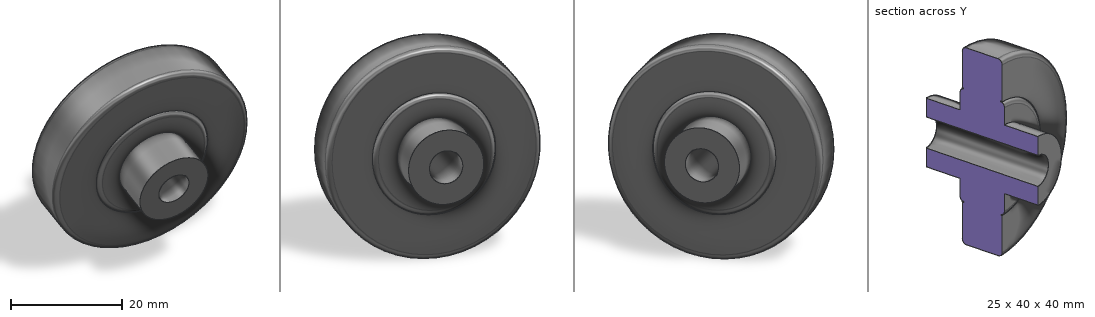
import cadquery as cq

wheel_diameter = 40
wheel_width = 9.0
wheel_edge_radius = 1.0
collar_diameter = 23.0
collar_width = 10
collar_edge_radius = 1.0
hub_diameter = 14
hub_length = 25.0
bore_diameter = 6.2


def centred_disc(diameter, width):
    """Solid disc on the X axis, centred on the origin."""
    return cq.Workplane("YZ").workplane(offset=-width / 2).circle(diameter / 2).extrude(width)


def rounded_disc(diameter, width, edge_radius):
    """Centred disc with both rims rounded."""
    return centred_disc(diameter, width).edges("%CIRCLE").fillet(edge_radius)


wheel = rounded_disc(wheel_diameter, wheel_width, wheel_edge_radius)
wheel_opening = centred_disc(collar_diameter, wheel_width)
collar = rounded_disc(collar_diameter, collar_width, collar_edge_radius)
hub = centred_disc(hub_diameter, hub_length)
bore = centred_disc(bore_diameter, hub_length)

result = wheel.cut(wheel_opening).union(collar).union(hub).cut(bore)